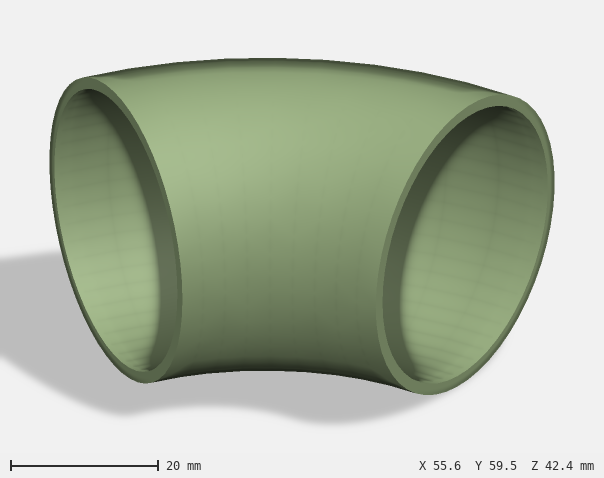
import cadquery as cq
import math

bend_angle = 60.0
overall_length = 59.5
outer_diameter = 42.4
wall_thickness = 1.6

outer_radius = outer_diameter / 2
inner_radius = outer_radius - wall_thickness
outside_bend_radius = overall_length / math.sin(math.radians(bend_angle))
bend_radius = outside_bend_radius - outer_radius

axis_start = (bend_radius, 0)
axis_end = (bend_radius, -1)
result = (
    cq.Workplane("XZ")
    .circle(outer_radius)
    .circle(inner_radius)
    .revolve(bend_angle, axis_start, axis_end)
)